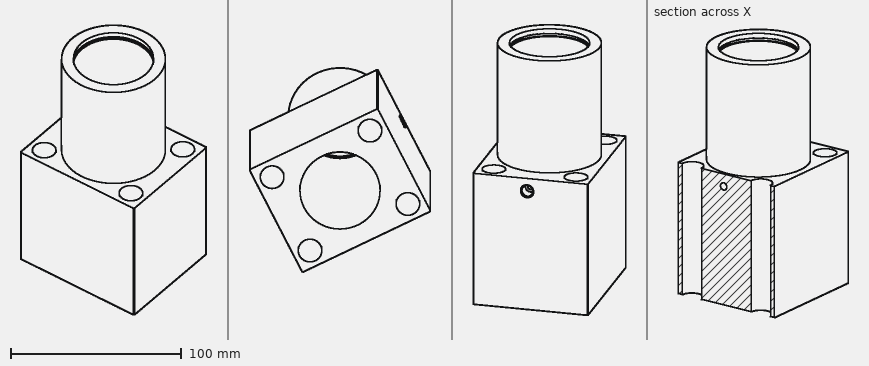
import cadquery as cq
import math

block_length = 84.0
block_width = 70.0
block_height = 82.0
corner_chamfer = 0.5

total_height = 152.0
tube_diameter = 61.0
bore_diameter = 47.0

groove_diameter = 49.5
groove_width = 1.85
groove_lip = 3.0

mount_hole_diameter = 13.84
mount_spacing_x = 64.0
mount_spacing_y = 50.0

port_y = 2.0
port_z = block_height - 8.0
port_mouth_diameter = 8.0
port_thread_diameter = 6.65
port_thread_depth = 8.0
port_cone_angle = 118.0
port_channel_diameter = 4.3


def make_body():
    block = (
        cq.Workplane("XY")
        .box(block_length, block_width, block_height, centered=(True, True, False))
        .edges("|Z")
        .chamfer(corner_chamfer)
    )
    tube = cq.Workplane("XY").circle(tube_diameter / 2).extrude(total_height)
    return block.union(tube)


def make_bore():
    bore = cq.Workplane("XY").circle(bore_diameter / 2).extrude(total_height)
    groove_floor = total_height - groove_lip - groove_width
    groove = (
        cq.Workplane("XY")
        .workplane(offset=groove_floor)
        .circle(groove_diameter / 2)
        .extrude(groove_width)
    )
    return bore.union(groove)


def make_mount_holes():
    return (
        cq.Workplane("XY")
        .rect(mount_spacing_x, mount_spacing_y, forConstruction=True)
        .vertices()
        .circle(mount_hole_diameter / 2)
        .extrude(block_height)
    )


def make_port():
    """Revolved half profile: 45 degree mouth, thread bore, drill-point cone and channel."""
    mouth_radius = port_mouth_diameter / 2
    thread_radius = port_thread_diameter / 2
    channel_radius = port_channel_diameter / 2
    face_x = -block_length / 2
    thread_end_x = face_x + port_thread_depth
    cone_length = (thread_radius - channel_radius) / math.tan(math.radians(port_cone_angle / 2))
    profile = [
        (face_x, 0),
        (face_x, mouth_radius),
        (face_x + mouth_radius - thread_radius, thread_radius),
        (thread_end_x, thread_radius),
        (thread_end_x + cone_length, channel_radius),
        (0, channel_radius),
        (0, 0),
    ]
    return (
        cq.Workplane("XY")
        .polyline(profile)
        .close()
        .revolve(360, (0, 0, 0), (1, 0, 0))
        .translate((0, port_y, port_z))
    )


result = make_body().cut(make_bore()).cut(make_mount_holes()).cut(make_port())